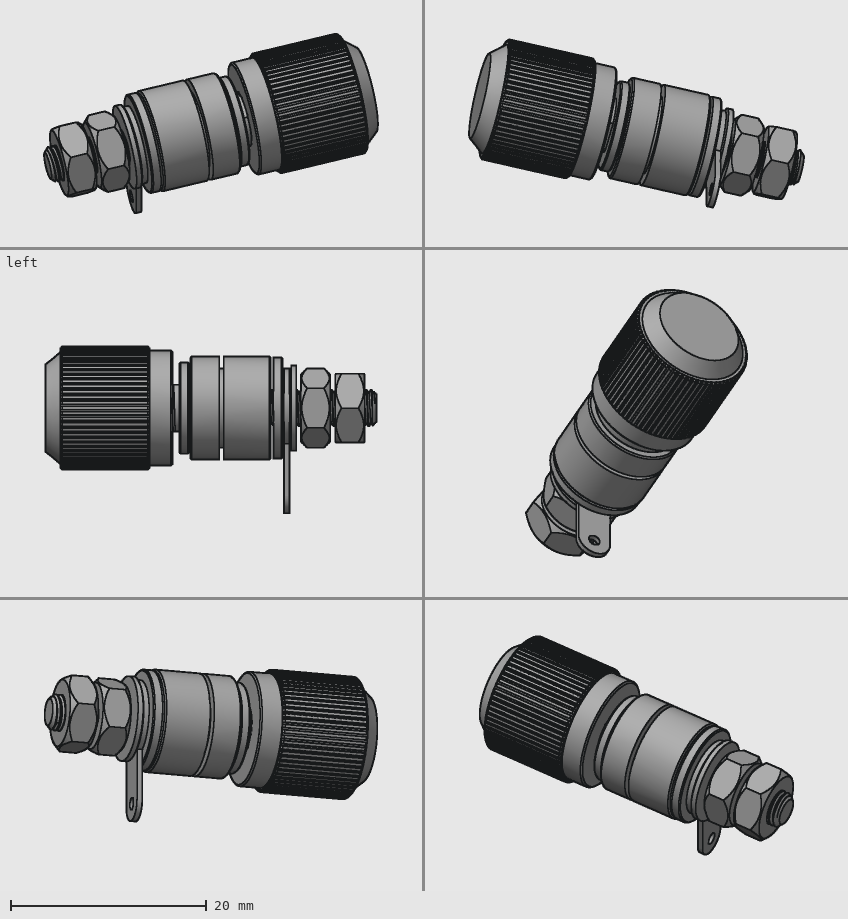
import cadquery as cq
import math

OVERALL_LENGTH = 33.85

ROD_RADIUS = 1.85
ROD_THREAD_END = 12.2
ROD_TIP_RADIUS = 1.4
THREAD_PITCH = 0.5
THREAD_DEPTH = 0.27
THREAD_GROOVE_WIDTH = 0.45
THREAD_START_ANGLE = 90.0
ROD_GROOVE_START = -0.457
NECK_RADIUS = 2.85
NECK_GROOVE_START = 20.75
NECK_GROOVE_END = 26.75
NECK_END = 27.08
FLAT_HEIGHT = 2.4
GROOVE_OVERSHOOT = 0.017

FRONT_NUT_Y = 1.22
REAR_NUT_Y = 4.75
FLAT_WASHER_Y = 8.2
LUG_Y = 8.9
CLAMP_WASHER_Y = 9.6
REAR_INSULATOR_Y = 10.8
SPIGOT_Y = 15.65
FRONT_INSULATOR_Y = 16.08
COLLAR_Y = 19.15
KNOB_Y = 20.85

NUT_THICKNESS = 3.0
NUT_ACROSS_FLATS = 7.05
NUT_FACE_RADIUS = 3.42

WASHER_CHAMFER = 0.15
FLAT_WASHER_THICKNESS = 0.55
FLAT_WASHER_RADIUS = 4.35
CLAMP_WASHER_THICKNESS = 0.95
CLAMP_WASHER_RADIUS = 5.18
COLLAR_THICKNESS = 1.0
COLLAR_RADIUS = 4.67

LUG_THICKNESS = 0.58
LUG_DISC_RADIUS = 4.05
LUG_TAB_WIDTH = 3.6
LUG_HOLE_DROP = 8.97
LUG_HOLE_RADIUS = 0.6

INSULATOR_RADIUS = 5.28
SPIGOT_RADIUS = 4.05
INSULATOR_CHAMFER = 0.17
FRONT_INSULATOR_LENGTH = 2.98

KNURL_RADIUS = 6.3
KNURL_DEPTH = 0.25
KNURL_TEETH = 70
KNURL_TOOTH_SHARE = 0.6
KNURL_CHAMFER = 0.2
KNURL_START = 23.2
KNURL_END = 32.33
SHOULDER_RADIUS = 5.9
CONE_BASE_RADIUS = 5.72
CONE_TOP_RADIUS = 4.47
KNOB_CHAMFER = 0.17


def turned(profile):
    """Solid of revolution about Y from (radius, y) points."""
    return cq.Workplane("XY").polyline(profile).close().revolve(360, (0, 0, 0), (0, 1, 0))


def disc(y_start, length, radius, front_chamfer=0.0, back_chamfer=0.0):
    """Plain disc on the Y axis, optionally chamfered on its rims."""
    body = cq.Workplane("XZ", origin=(0, y_start, 0)).circle(radius).extrude(-length)
    if front_chamfer:
        body = body.faces("<Y").edges().chamfer(front_chamfer)
    if back_chamfer:
        body = body.faces(">Y").edges().chamfer(back_chamfer)
    return body


def bored(body, y_start, length, radius=ROD_RADIUS):
    """Cut a round hole along the Y axis."""
    return body.cut(disc(y_start, length, radius))


def thread_groove(radius, y_start, y_end):
    """Right-handed V groove around Y; its start angle is measured from +X towards -Z."""
    path = cq.Wire.makeHelix(THREAD_PITCH, y_end - y_start, radius)
    slope = THREAD_GROOVE_WIDTH / (2 * THREAD_DEPTH)
    mouth = slope * (THREAD_DEPTH + GROOVE_OVERSHOOT)
    groove = (
        cq.Workplane("XZ")
        .polyline([
            (radius - THREAD_DEPTH, 0),
            (radius + GROOVE_OVERSHOOT, mouth),
            (radius + GROOVE_OVERSHOOT, -mouth),
        ])
        .close()
        .sweep(cq.Workplane(path), isFrenet=True)
    )
    turned_groove = groove.rotate((0, 0, 0), (0, 0, 1), THREAD_START_ANGLE)
    return turned_groove.rotate((0, 0, 0), (1, 0, 0), -90).translate((0, y_start, 0))


def make_stud():
    """Threaded rod with a chamfered tip and a thicker threaded neck with two flats."""
    neck_start = COLLAR_Y + COLLAR_THICKNESS
    rod = disc(0, neck_start, ROD_RADIUS).cut(thread_groove(ROD_RADIUS, ROD_GROOVE_START, ROD_THREAD_END))
    rod = rod.intersect(disc(0, neck_start, ROD_RADIUS, front_chamfer=ROD_RADIUS - ROD_TIP_RADIUS))

    neck_length = NECK_END - neck_start
    neck = disc(neck_start, neck_length, NECK_RADIUS)
    neck = neck.cut(thread_groove(NECK_RADIUS, NECK_GROOVE_START, NECK_GROOVE_END))
    flats = cq.Workplane("XY").box(2 * NECK_RADIUS, neck_length, 2 * FLAT_HEIGHT)
    neck = neck.intersect(flats.translate((0, neck_start + neck_length / 2, 0)))
    return rod.union(neck)


def make_nut(y_start, turn):
    """Hexagon nut with both faces chamfered; turn rotates its corners away from the X axis."""
    corner_radius = NUT_ACROSS_FLATS / math.sqrt(3)
    chamfer = corner_radius - NUT_FACE_RADIUS
    hexagon = (
        cq.Workplane("XZ", origin=(0, y_start, 0))
        .polygon(6, 2 * corner_radius)
        .extrude(-NUT_THICKNESS)
        .rotate((0, 0, 0), (0, 1, 0), turn)
    )
    envelope = disc(y_start, NUT_THICKNESS, corner_radius, chamfer, chamfer)
    return bored(hexagon.intersect(envelope), y_start, NUT_THICKNESS)


def make_flat_washer():
    """Plain washer between the rear nut and the solder lug."""
    washer = disc(FLAT_WASHER_Y, FLAT_WASHER_THICKNESS, FLAT_WASHER_RADIUS)
    return bored(washer, FLAT_WASHER_Y, FLAT_WASHER_THICKNESS)


def make_lug():
    """Round washer with a hanging round-ended tab and its wire hole."""
    plane = cq.Workplane("XZ", origin=(0, LUG_Y, 0))
    tab = plane.center(0, -LUG_HOLE_DROP / 2).rect(LUG_TAB_WIDTH, LUG_HOLE_DROP).extrude(-LUG_THICKNESS)
    tab_end = plane.center(0, -LUG_HOLE_DROP).circle(LUG_TAB_WIDTH / 2).extrude(-LUG_THICKNESS)
    wire_hole = plane.center(0, -LUG_HOLE_DROP).circle(LUG_HOLE_RADIUS).extrude(-LUG_THICKNESS)
    lug = disc(LUG_Y, LUG_THICKNESS, LUG_DISC_RADIUS).union(tab).union(tab_end).cut(wire_hole)
    return bored(lug, LUG_Y, LUG_THICKNESS)


def make_clamp_washer():
    """Wide washer with a chamfered front rim."""
    washer = disc(CLAMP_WASHER_Y, CLAMP_WASHER_THICKNESS, CLAMP_WASHER_RADIUS, front_chamfer=WASHER_CHAMFER)
    return bored(washer, CLAMP_WASHER_Y, CLAMP_WASHER_THICKNESS)


def make_rear_insulator():
    """Sleeve with a narrower spigot that meets the front insulator."""
    barrel_length = SPIGOT_Y - REAR_INSULATOR_Y
    barrel = disc(REAR_INSULATOR_Y, barrel_length, INSULATOR_RADIUS, front_chamfer=INSULATOR_CHAMFER)
    spigot = disc(SPIGOT_Y, FRONT_INSULATOR_Y - SPIGOT_Y, SPIGOT_RADIUS)
    return bored(barrel.union(spigot), REAR_INSULATOR_Y, FRONT_INSULATOR_Y - REAR_INSULATOR_Y)


def make_front_insulator():
    """Plain sleeve with a chamfered rim facing the collar."""
    sleeve = disc(FRONT_INSULATOR_Y, FRONT_INSULATOR_LENGTH, INSULATOR_RADIUS, back_chamfer=INSULATOR_CHAMFER)
    return bored(sleeve, FRONT_INSULATOR_Y, FRONT_INSULATOR_LENGTH)


def make_collar():
    """Ring against the neck of the stud, chamfered on both rims."""
    collar = disc(COLLAR_Y, COLLAR_THICKNESS, COLLAR_RADIUS, WASHER_CHAMFER, WASHER_CHAMFER)
    return bored(collar, COLLAR_Y, COLLAR_THICKNESS)


def knurled_band():
    """Toothed band, with a gap between teeth at +Z, with chamfered tooth ends."""
    pitch_angle = 2 * math.pi / KNURL_TEETH
    half_tooth = KNURL_TOOTH_SHARE * pitch_angle / 2
    root_radius = KNURL_RADIUS - KNURL_DEPTH

    def at(radius, angle):
        return (radius * math.cos(angle), radius * math.sin(angle))

    outline = cq.Workplane("XZ", origin=(0, KNURL_START, 0)).moveTo(*at(KNURL_RADIUS, -half_tooth))
    for tooth in range(KNURL_TEETH):
        middle = tooth * pitch_angle
        gap_middle = middle + pitch_angle / 2
        next_tooth = middle + pitch_angle - half_tooth
        outline = (
            outline.threePointArc(at(KNURL_RADIUS, middle), at(KNURL_RADIUS, middle + half_tooth))
            .lineTo(*at(root_radius, middle + half_tooth))
            .threePointArc(at(root_radius, gap_middle), at(root_radius, next_tooth))
            .lineTo(*at(KNURL_RADIUS, next_tooth))
        )
    length = KNURL_END - KNURL_START
    envelope = disc(KNURL_START, length, KNURL_RADIUS, KNURL_CHAMFER, KNURL_CHAMFER)
    return outline.close().extrude(-length).intersect(envelope)


def make_knob():
    """Knurled cap with a coned back, a plain front shoulder and a blind hole for the neck."""
    core = turned([
        (0, KNOB_Y),
        (SHOULDER_RADIUS - KNOB_CHAMFER, KNOB_Y),
        (SHOULDER_RADIUS, KNOB_Y + KNOB_CHAMFER),
        (SHOULDER_RADIUS, KNURL_START),
        (CONE_BASE_RADIUS, KNURL_END),
        (CONE_TOP_RADIUS, OVERALL_LENGTH),
        (0, OVERALL_LENGTH),
    ])
    return bored(core.union(knurled_band()), KNOB_Y, NECK_END - KNOB_Y, NECK_RADIUS)


stud = make_stud()
front_nut, rear_nut = [make_nut(y, turn) for y, turn in ((FRONT_NUT_Y, 0), (REAR_NUT_Y, 30))]
flat_washer = make_flat_washer()
lug = make_lug()
clamp_washer = make_clamp_washer()
rear_insulator = make_rear_insulator()
front_insulator = make_front_insulator()
collar = make_collar()
knob = make_knob()

result = cq.Compound.makeCompound([
    stud.val(),
    front_nut.val(),
    rear_nut.val(),
    flat_washer.val(),
    lug.val(),
    clamp_washer.val(),
    rear_insulator.val(),
    front_insulator.val(),
    collar.val(),
    knob.val(),
])